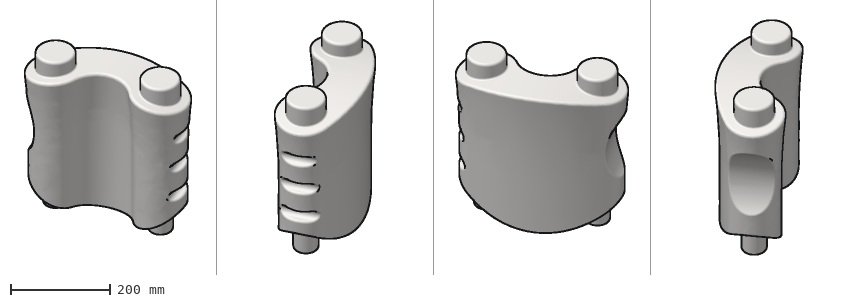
import cadquery as cq
import math

total_height = 377.0
pin_spacing = 230.0
pin_x = pin_spacing / 2

upper_pin_diameter = 82.0
lower_pin_diameter = 52.0
pin_tip_fillet = 6.0
pin_root_fillet = 3.5

lobe_radius = 55.4
back_apex_y = 85.0
hollow_apex_y = 13.0

flare_start_z = 174.5
flare_arc_radius = 1510.0
loft_step_count = 8

dome_top_z = 347.0
dome_top_radius = 750.0
dome_bottom_z = 6.0
dome_bottom_radius = 248.0
top_edge_fillet = 6.0
bottom_edge_fillet = 5.0

scoop_radius = 117.5
scoop_x = -260.0
scoop_z = 199.0

notch_radius = 11.5
notch_axes = [(170.0, 255.5), (165.0, 185.5), (161.5, 115.5)]
grip_edge_fillet = 5.0

envelope_half_width = 220.0

through_length = 400.0

outer_radius = (pin_x**2 + back_apex_y**2 - lobe_radius**2) / (2 * (back_apex_y - lobe_radius))
inner_radius = (pin_x**2 + hollow_apex_y**2 - lobe_radius**2) / (2 * (hollow_apex_y + lobe_radius))
outer_center_y = back_apex_y - outer_radius
inner_center_y = hollow_apex_y - inner_radius


def section(z, growth):
    """Kidney-shaped wire at height z, offset outward by growth from the base section."""
    lobe = lobe_radius + growth
    outer_angle = math.atan2(-outer_center_y, pin_x)
    inner_angle = math.atan2(-inner_center_y, -pin_x)
    outer_tangent = (pin_x + lobe * math.cos(outer_angle), lobe * math.sin(outer_angle))
    inner_tangent = (pin_x + lobe * math.cos(inner_angle), -lobe * math.sin(inner_angle))
    lobe_mid_angle = (outer_angle - inner_angle) / 2
    lobe_mid = (pin_x + lobe * math.cos(lobe_mid_angle), lobe * math.sin(lobe_mid_angle))

    def mirrored(point):
        return (-point[0], point[1])

    return (
        cq.Workplane("XY", origin=(0, 0, z))
        .moveTo(*mirrored(outer_tangent))
        .threePointArc((0, back_apex_y + growth), outer_tangent)
        .threePointArc(lobe_mid, inner_tangent)
        .threePointArc((0, hollow_apex_y - growth), mirrored(inner_tangent))
        .threePointArc(mirrored(lobe_mid), mirrored(outer_tangent))
        .close()
    )


def make_envelope():
    """Plate along Y whose outline is bounded by the upper and lower dome arcs."""

    def drop(radius):
        return radius - math.sqrt(radius**2 - envelope_half_width**2)

    upper_end_z = dome_top_z - drop(dome_top_radius)
    lower_end_z = dome_bottom_z + drop(dome_bottom_radius)
    return (
        cq.Workplane("XZ")
        .moveTo(-envelope_half_width, upper_end_z)
        .threePointArc((0, dome_top_z), (envelope_half_width, upper_end_z))
        .lineTo(envelope_half_width, lower_end_z)
        .threePointArc((0, dome_bottom_z), (-envelope_half_width, lower_end_z))
        .close()
        .extrude(through_length / 2, both=True)
    )


def wall_growth(z):
    """Outward offset of the wall at height z: none below the flare, then following its arc."""
    rise = max(0, z - flare_start_z)
    return flare_arc_radius - math.sqrt(flare_arc_radius**2 - rise**2)


def make_blank():
    """Full-height lofted kidney column, before its ends are domed."""
    heights = [total_height * step / loft_step_count for step in range(loft_step_count + 1)]
    wires = [section(z, wall_growth(z)).val() for z in heights]
    return cq.Workplane(cq.Solid.makeLoft(wires))


def cross_cut(body, x, z, radius):
    """Cut a round groove along Y through the body and round the edges it leaves."""
    tool = cq.Workplane("XZ").center(x, z).circle(radius).extrude(through_length / 2, both=True)
    reach = radius + 1
    groove_box = cq.selectors.BoxSelector(
        (x - reach, -through_length / 2, z - reach),
        (x + reach, through_length / 2, z + reach),
        boundingbox=True,
    )
    return body.cut(tool).edges(groove_box).fillet(grip_edge_fillet)


def add_pin(body, x, diameter, tip_z, root_z):
    """Add a pin from inside the body to tip_z, with rounded tip and root."""
    radius = diameter / 2
    height = tip_z - root_z
    pin = cq.Workplane("XY", origin=(x, 0, root_z)).circle(radius).extrude(height)
    pin = pin.faces(">Z" if height > 0 else "<Z").edges().fillet(pin_tip_fillet)
    reach = radius + 1
    tip_clearance = math.copysign(pin_tip_fillet + 1, height)
    root_box = cq.selectors.BoxSelector(
        (x - reach, -reach, root_z),
        (x + reach, reach, tip_z - tip_clearance),
        boundingbox=True,
    )
    return body.union(pin).edges(root_box).edges("not %LINE").fillet(pin_root_fillet)


body = make_blank().intersect(make_envelope())
body = body.faces(">Z").edges().fillet(top_edge_fillet)
body = body.faces("<Z").edges().fillet(bottom_edge_fillet)

mid_z = total_height / 2
for side in (-1, 1):
    body = add_pin(body, side * pin_x, upper_pin_diameter, total_height, mid_z)
    body = add_pin(body, side * pin_x, lower_pin_diameter, 0, mid_z)

body = cross_cut(body, scoop_x, scoop_z, scoop_radius)
for notch_x, notch_z in notch_axes:
    body = cross_cut(body, notch_x, notch_z, notch_radius)

result = body